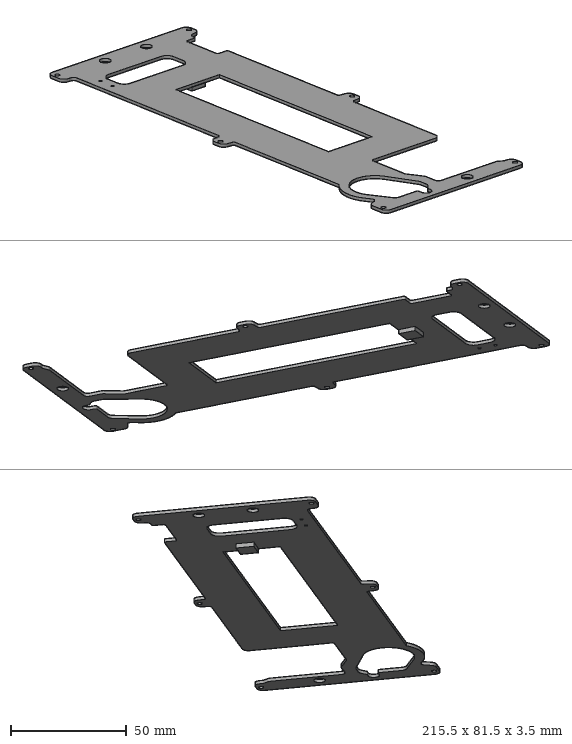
import cadquery as cq
import math

length = 215.5
width = 81.5
plate_thickness = 1.5
half_length = length / 2
half_width = width / 2

body_edge = 34.7

tab_radius = 2.8
bend_radius = 2.0
tab_root_radius = 0.9
middle_tab_tip = 3.9
middle_tab_root = 4.5
lower_left_tab_tip = -97.8
lower_left_tab_root = -97.5
upper_left_tab_tip = -100.0
upper_left_tab_root = -99.0

notch_left = -95.3
notch_right = -75.2
notch_floor = 28.9
notch_radius = 0.9

bay_left = 60.1
bay_floor = -5.4
bay_step = -0.9
bay_slope_start = 81.5
bay_slope_end = 89.5
arm_left = 97.6
arm_tab_left = 99.3
arm_taper_bottom = 33.5
arm_taper_top = 36.5

teardrop_x = 82.5
teardrop_y = -24.0
teardrop_radius = 11.2
rim_radius = 15.5
lower_flank_angle = 30.0
upper_flank_angle = 26.0
teardrop_top = -6.7
teardrop_right = 99.5
teardrop_shoulder_x = 97.6
lobe_neck_x = 100.5
teardrop_shoulder_radius = 3.0
rim_valley_x = 94.8
rim_valley_radius = 1.5
lower_right_tab_tip = 97.6

screw_hole_diameter = 2.2
screw_hole_x = 103.9
screw_hole_y = 38.5
large_hole_diameter = 5.0
large_hole_x = 102.1
large_hole_y = 12.0
pin_hole_diameter = 1.3
pin_hole_xs = (-86.2, -78.5)
pin_hole_y = -29.5

slot_left, slot_right, slot_bottom, slot_top = -89.5, -75.6, -25.6, 12.7
slot_radius = 3.9
window_left, window_right, window_bottom, window_top = -56.9, 40.3, -12.3, 13.1

block_side = 8.0
block_height = 2.0
block_x = -61.2
block_y = 1.3


def rounded_prism(corners):
    """Plate-thick prism on a closed outline of (x, y, corner radius)."""
    stretches = []
    for i, (x, y, radius) in enumerate(corners):
        corner = cq.Vector(x, y)
        to_last = (cq.Vector(*corners[i - 1][:2]) - corner).normalized()
        to_next = (cq.Vector(*corners[(i + 1) % len(corners)][:2]) - corner).normalized()
        half_angle = to_last.getAngle(to_next) / 2
        setback = radius / math.tan(half_angle)
        bisector = (to_last + to_next).normalized()
        middle = corner + bisector * (radius / math.sin(half_angle) - radius)
        stretches.append((corner + to_last * setback, middle, corner + to_next * setback, radius))

    outline = cq.Workplane("XY").moveTo(*stretches[0][2].toTuple()[:2])
    for start, middle, end, radius in stretches[1:] + stretches[:1]:
        outline = outline.lineTo(start.x, start.y)
        if radius > 0:
            outline = outline.threePointArc((middle.x, middle.y), (end.x, end.y))
    return outline.close().extrude(plate_thickness)


def discs(diameter, centers):
    """Plate-thick round discs, used as holes and as the rim."""
    return cq.Workplane("XY").pushPoints(centers).circle(diameter / 2).extrude(plate_thickness)


def box_between(left, right, bottom, top):
    """Plate-thick rectangular block."""
    size = (right - left, top - bottom, plate_thickness)
    return cq.Workplane("XY").box(*size, centered=False).translate((left, bottom, 0))


def lower_tangent_point(radius):
    """Point where the lower flank leaves a circle around the teardrop's centre."""
    angle = math.radians(lower_flank_angle)
    return teardrop_x + radius * math.sin(angle), teardrop_y - radius * math.cos(angle)


def lower_flank_y(radius, x):
    """Height of the lower flank of the circle with this radius, at x."""
    start_x, start_y = lower_tangent_point(radius)
    return start_y + (x - start_x) * math.tan(math.radians(lower_flank_angle))


def plate_blank():
    """Outer outline, counterclockwise from the lower left corner."""
    outline = [
        (-half_length, -half_width, tab_radius),
        (lower_left_tab_tip, -half_width, tab_radius),
        (lower_left_tab_root, -body_edge, bend_radius),
        (-middle_tab_root, -body_edge, tab_root_radius),
        (-middle_tab_tip, -half_width, tab_radius),
        (middle_tab_tip, -half_width, tab_radius),
        (middle_tab_root, -body_edge, tab_root_radius),
        (teardrop_x, -body_edge, 0),
        (*lower_tangent_point(rim_radius), 0),
        (rim_valley_x, lower_flank_y(rim_radius, rim_valley_x), rim_valley_radius),
        (lower_right_tab_tip, -half_width, tab_radius),
        (half_length, -half_width, tab_radius),
        (half_length, half_width, tab_radius),
        (arm_tab_left, half_width, tab_radius),
        (arm_tab_left, arm_taper_top, tab_root_radius),
        (arm_left, arm_taper_bottom, tab_root_radius),
        (arm_left, bay_step, bend_radius),
        (bay_slope_end, bay_step, bend_radius),
        (bay_slope_start, bay_floor, bend_radius),
        (bay_left, bay_floor, notch_radius),
        (bay_left, body_edge, tab_radius),
        (middle_tab_root, body_edge, tab_root_radius),
        (middle_tab_tip, half_width, tab_radius),
        (-middle_tab_tip, half_width, tab_radius),
        (-middle_tab_root, body_edge, tab_root_radius),
        (notch_right, body_edge, notch_radius),
        (notch_right, notch_floor, notch_radius),
        (notch_left, notch_floor, notch_radius),
        (notch_left, body_edge, notch_radius),
        (upper_left_tab_root, body_edge, bend_radius),
        (upper_left_tab_tip, half_width, tab_radius),
        (-half_length, half_width, tab_radius),
    ]
    rim = discs(2 * rim_radius, [(teardrop_x, teardrop_y)])
    return rounded_prism(outline).union(rim)


def teardrop_opening():
    """Round end, two tangent flanks and a lobe that matches the large holes."""
    angle = math.radians(upper_flank_angle)
    upper_x = teardrop_x - teardrop_radius * math.sin(angle)
    upper_y = teardrop_y + teardrop_radius * math.cos(angle)
    flank_end_x = upper_x + (teardrop_top - upper_y) / math.tan(angle)
    lobe_radius = large_hole_diameter / 2
    lobe_top = -large_hole_y + lobe_radius
    lobe_bottom = -large_hole_y - lobe_radius

    outline = [
        (*lower_tangent_point(teardrop_radius), 0),
        (teardrop_right, lower_flank_y(teardrop_radius, teardrop_right), teardrop_shoulder_radius),
        (teardrop_right, lobe_bottom, notch_radius),
        (large_hole_x, lobe_bottom, 0),
        (large_hole_x, lobe_top, 0),
        (lobe_neck_x, lobe_top, notch_radius),
        (teardrop_shoulder_x, teardrop_top, teardrop_shoulder_radius),
        (flank_end_x, teardrop_top, teardrop_shoulder_radius),
        (upper_x, upper_y, 0),
    ]
    round_end = discs(2 * teardrop_radius, [(teardrop_x, teardrop_y)])
    lobe = discs(large_hole_diameter, [(large_hole_x, -large_hole_y)])
    return rounded_prism(outline).union(round_end).union(lobe)


def make_plate():
    screw_centers = [(x, y) for x in (-screw_hole_x, 0, screw_hole_x) for y in (-screw_hole_y, screw_hole_y)]
    large_centers = [
        (-large_hole_x, -large_hole_y),
        (-large_hole_x, large_hole_y),
        (large_hole_x, large_hole_y),
    ]
    pin_centers = [(x, pin_hole_y) for x in pin_hole_xs]
    slot = box_between(slot_left, slot_right, slot_bottom, slot_top).edges("|Z").fillet(slot_radius)

    plate = plate_blank().cut(teardrop_opening())
    plate = plate.cut(slot)
    plate = plate.cut(box_between(window_left, window_right, window_bottom, window_top))
    plate = plate.cut(discs(screw_hole_diameter, screw_centers))
    plate = plate.cut(discs(large_hole_diameter, large_centers))
    return plate.cut(discs(pin_hole_diameter, pin_centers))


def make_block():
    """Square block hanging from the plate's underside."""
    block = cq.Workplane("XY").box(block_side, block_side, block_height)
    return block.translate((block_x, block_y, -block_height / 2))


plate = make_plate()
block = make_block()
result = cq.Compound.makeCompound([plate.val(), block.val()])